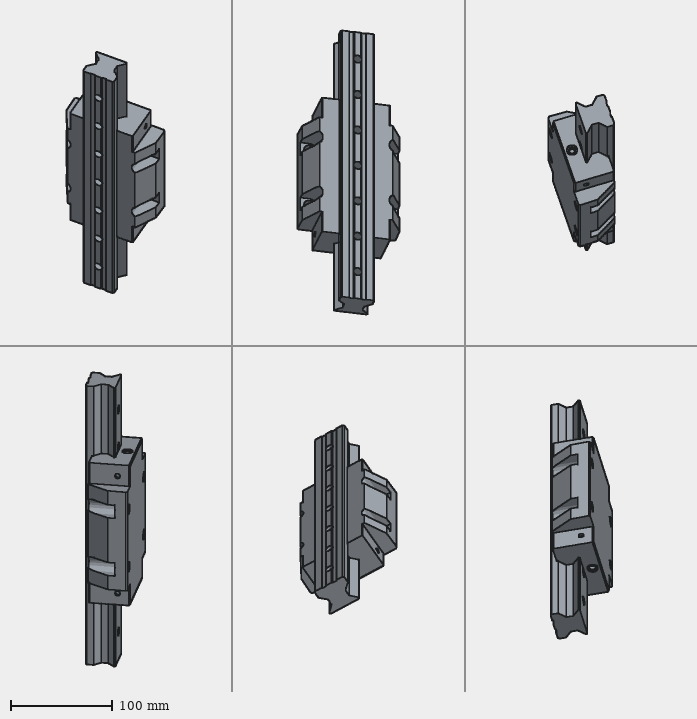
import cadquery as cq


rail_length = 300.0
rail_half_width = 17.0
rail_height = 30.0
rail_foot_chamfer = 1.5
rail_head_chamfer = 1.0
waist_half_width = 10.2
shoulder_y = 8.0
waist_bottom_y = 14.7
waist_top_y = 21.5
head_y = waist_top_y + (rail_half_width - waist_half_width)

relief_inner_x = 3.0
relief_floor_inner_x = 4.2
relief_outer_x = 8.5
relief_depth = 0.75

rail_hole_count = 7
rail_hole_pitch = 40.0
rail_hole_diameter = 8.5

total_height = 48.0
carriage_bottom_y = 6.5
carriage_length = 151.0
flange_length = 106.2
flange_half_width = 100.0 / 2
flange_lower_half_width = 49.5
flange_edge_height = 19.8
flange_foot_half_width = 37.2
top_edge_chamfer = 1.5

cap_half_width = 34.8
cap_foot_chamfer = 1.0
cap_end_chamfer = 1.2

bolt_x = 40.8
bolt_spacing_z = 62.0
bolt_hole_diameter = 10.0
bolt_pocket_width = 14.0
bolt_pocket_top_y = total_height - 12.5

port_y = total_height - 9.0
port_diameter = 6.3
port_recess_diameter = 10.2
port_recess_depth = 1.5
port_depth = 6.0
side_port_y = total_height - 12.5
side_port_from_end = 12.3
side_port_diameter = 5.0
side_port_depth = 3.0


def mirrored_prism(right_half, length):
    """Extrude a profile symmetric about X = 0, centred on Z = 0."""
    left_half = [(-x, y) for x, y in reversed(right_half)]
    return cq.Workplane("XY").polyline(right_half + left_half).close().extrude(length / 2, both=True)


def rail_blank():
    return mirrored_prism(
        [
            (rail_half_width - rail_foot_chamfer, 0),
            (rail_half_width, rail_foot_chamfer),
            (rail_half_width, shoulder_y),
            (waist_half_width, waist_bottom_y),
            (waist_half_width, waist_top_y),
            (rail_half_width, head_y),
            (rail_half_width, rail_height - rail_head_chamfer),
            (rail_half_width - rail_head_chamfer, rail_height),
        ],
        rail_length,
    )


def rail_relief(side):
    corners = [
        (side * relief_inner_x, 0),
        (side * relief_floor_inner_x, relief_depth),
        (side * relief_outer_x, relief_depth),
        (side * relief_outer_x, 0),
    ]
    return cq.Workplane("XY").polyline(corners).close().extrude(rail_length / 2, both=True)


def make_rail():
    rail = rail_blank()
    for side in (-1, 1):
        rail = rail.cut(rail_relief(side))
    holes = (
        cq.Workplane("XZ")
        .rarray(3, rail_hole_pitch, 1, rail_hole_count)
        .circle(rail_hole_diameter / 2)
        .extrude(-rail_height)
    )
    return rail.cut(holes)


def flange_body():
    return mirrored_prism(
        [
            (flange_foot_half_width, carriage_bottom_y),
            (flange_lower_half_width, total_height - flange_edge_height),
            (flange_half_width, total_height - top_edge_chamfer),
            (flange_half_width - top_edge_chamfer, total_height),
        ],
        flange_length,
    )


def end_cap_core():
    core = mirrored_prism(
        [
            (cap_half_width - cap_foot_chamfer, carriage_bottom_y),
            (cap_half_width, carriage_bottom_y + cap_foot_chamfer),
            (cap_half_width, total_height - top_edge_chamfer),
            (cap_half_width - top_edge_chamfer, total_height),
        ],
        carriage_length,
    )
    end_faces = core.faces("<Z or >Z")
    return end_faces.edges(">Y").chamfer(cap_end_chamfer)


def bolt_cut(side, z):
    """Through hole with a round-ended seat that runs out of the flange side."""
    hole = (
        cq.Workplane("XZ", origin=(side * bolt_x, 0, z))
        .circle(bolt_hole_diameter / 2)
        .extrude(-total_height)
    )
    seat = (
        cq.Workplane("XZ", origin=(side * bolt_x, 0, z))
        .circle(bolt_pocket_width / 2)
        .extrude(-bolt_pocket_top_y)
    )
    runout = (
        cq.Workplane("XY")
        .box(2 * bolt_pocket_width, bolt_pocket_top_y, bolt_pocket_width, centered=(True, False, True))
        .translate((side * (bolt_x + bolt_pocket_width), 0, z))
    )
    return hole.union(seat).union(runout)


def end_port(end):
    def drill(diameter, depth):
        face = cq.Workplane("XY", origin=(0, port_y, end * carriage_length / 2))
        return face.circle(diameter / 2).extrude(-end * depth)

    return drill(port_recess_diameter, port_recess_depth).union(drill(port_diameter, port_depth))


def side_port(side, end):
    z = end * (carriage_length / 2 - side_port_from_end)
    face = cq.Workplane("YZ", origin=(side * cap_half_width, side_port_y, z))
    return face.circle(side_port_diameter / 2).extrude(-side * side_port_depth)


def make_carriage():
    carriage = flange_body().union(end_cap_core()).cut(rail_blank())
    for end in (-1, 1):
        carriage = carriage.cut(end_port(end))
        for side in (-1, 1):
            carriage = carriage.cut(bolt_cut(side, end * bolt_spacing_z / 2))
            carriage = carriage.cut(side_port(side, end))
    return carriage


rail = make_rail()
carriage = make_carriage()
result = cq.Compound.makeCompound([rail.val(), carriage.val()])